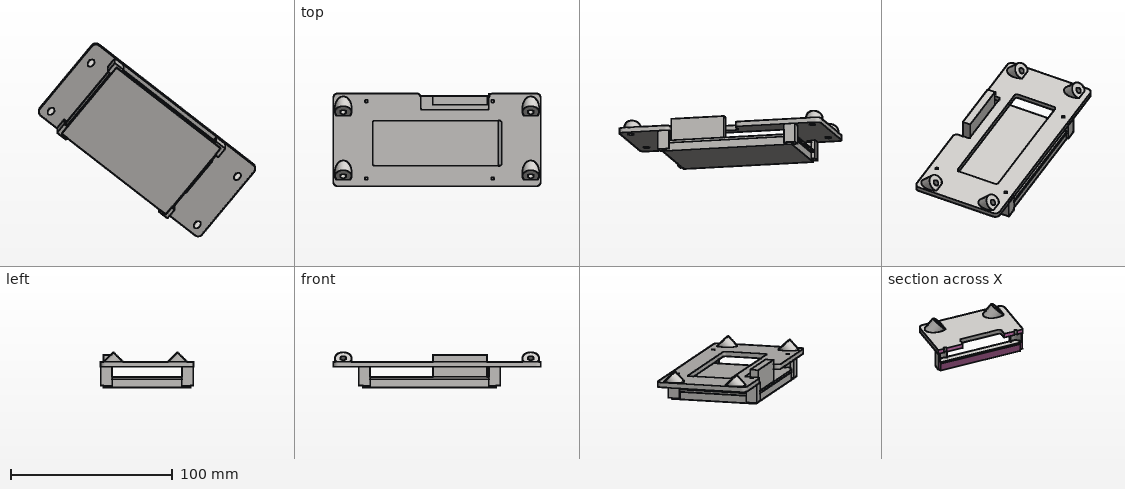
import cadquery as cq
import math

plate_thickness = 3.1
board_top = -6.2
board_thickness = 1.5
display_thickness = 5.0
post_height = 11.6
header_top = 7.5

plate_length = 128.5
plate_width = 57.6
plate_corner_radius = 3.1
window_x_min = -39.8
window_length = 79.7
window_y_center = -2.0
window_width = 28.0
window_corner_radius = 1.5
notch_x_min = -9.9
notch_x_max = 32.0
notch_depth = 10.2
notch_inner_radius = 0.6
notch_mouth_radius = 2.8

boss_diameter = 10.4
boss_hole_diameter = 3.6
boss_tilt = 45.0
boss_rise = 6.0
boss_x = 58.0
boss_apex_ys = (-18.8, 20.8)

stack_x = -4.6
board_length = 85.3
board_width = 54.5
display_length = 82.5
display_width = 54.2
header_x_min = -2.6
header_length = 33.5
header_y_max = 27.0
header_width = 5.1
post_size = 7.1
screw_hole_diameter = 1.8
screw_clearance_diameter = 6.8
screw_pitch_x = 78.1
screw_pitch_y = 47.8
post_offset = 1.2

plate_top = plate_thickness
board_bottom = board_top - board_thickness
display_bottom = board_bottom - display_thickness
post_reach_x = screw_pitch_x / 2 + post_offset
post_reach_y = screw_pitch_y / 2 + post_offset


def box(x_min, x_max, y_min, y_max, z_min, z_max):
    size = (x_max - x_min, y_max - y_min, z_max - z_min)
    return cq.Workplane("XY").box(*size, centered=False).translate((x_min, y_min, z_min))


def centered_box(x, y, length, width, z_min, z_max):
    return box(x - length / 2, x + length / 2, y - width / 2, y + width / 2, z_min, z_max)


def screw_cylinders(diameter, z_min, z_max):
    """Vertical cutters on the four screw axes."""
    return (
        cq.Workplane("XY", origin=(stack_x, 0, z_min))
        .rect(screw_pitch_x, screw_pitch_y, forConstruction=True)
        .vertices()
        .circle(diameter / 2)
        .extrude(z_max - z_min)
    )


def edge_notch():
    """Cutter for the open notch in the +Y edge, with its mouth corners rounded outward."""
    edge_y = plate_width / 2
    floor_y = edge_y - notch_depth
    mouth = notch_mouth_radius
    bend = mouth * (1 - math.sqrt(0.5))
    return (
        cq.Workplane("XY")
        .moveTo(notch_x_min - mouth, edge_y)
        .threePointArc((notch_x_min - bend, edge_y - bend), (notch_x_min, edge_y - mouth))
        .lineTo(notch_x_min, floor_y)
        .lineTo(notch_x_max, floor_y)
        .lineTo(notch_x_max, edge_y - mouth)
        .threePointArc((notch_x_max + bend, edge_y - bend), (notch_x_max + mouth, edge_y))
        .close()
        .extrude(plate_thickness)
        .faces("<Y")
        .edges("|Z")
        .fillet(notch_inner_radius)
    )


def boss_axis_cylinder(x, apex_y, diameter):
    """Cylinder that runs from the sloping boss face down through the plate."""
    tilt = math.radians(boss_tilt)
    face_radius = boss_diameter / 2
    face_y = apex_y - face_radius * math.cos(tilt)
    face_z = plate_top + boss_rise - face_radius * math.sin(tilt)
    length = 2 * boss_diameter
    direction = cq.Vector(0, math.sin(tilt), -math.cos(tilt))
    start = cq.Vector(x, face_y, face_z)
    return cq.Workplane(cq.Solid.makeCylinder(diameter / 2, length, start, direction))


def make_plate():
    plate = (
        cq.Workplane("XY")
        .rect(plate_length, plate_width)
        .extrude(plate_thickness)
        .edges("|Z")
        .fillet(plate_corner_radius)
    )
    window = centered_box(
        window_x_min + window_length / 2, window_y_center, window_length, window_width, 0, plate_top
    )
    plate = plate.cut(window.edges("|Z").fillet(window_corner_radius))
    plate = plate.cut(edge_notch()).cut(screw_cylinders(screw_hole_diameter, 0, plate_top))

    above_plate = centered_box(0, 0, plate_length, plate_width, plate_top, plate_top + boss_rise)
    boss_places = [(x, y) for x in (-boss_x, boss_x) for y in boss_apex_ys]
    for x, apex_y in boss_places:
        boss = boss_axis_cylinder(x, apex_y, boss_diameter).intersect(above_plate)
        plate = plate.union(boss)
    for x, apex_y in boss_places:
        plate = plate.cut(boss_axis_cylinder(x, apex_y, boss_hole_diameter))
    return plate


def make_board():
    return centered_box(stack_x, 0, board_length, board_width, board_bottom, board_top)


def make_display():
    return centered_box(stack_x, 0, display_length, display_width, display_bottom, board_bottom)


def make_header():
    return box(
        header_x_min, header_x_min + header_length,
        header_y_max - header_width, header_y_max,
        board_top, header_top,
    )


def make_post(x, y, board, display):
    """Corner post recessed around the board and display, and around the screw above them."""
    post = centered_box(x, y, post_size, post_size, -post_height, 0)
    clearance = screw_cylinders(screw_clearance_diameter, board_top, 0)
    return post.cut(board).cut(display).cut(clearance)


plate = make_plate()
board = make_board()
display = make_display()
header = make_header()
posts = [
    make_post(stack_x + side_x * post_reach_x, side_y * post_reach_y, board, display)
    for side_x in (-1, 1)
    for side_y in (-1, 1)
]

result = cq.Compound.makeCompound(
    [plate.val(), board.val(), display.val(), header.val(), *[post.val() for post in posts]]
)